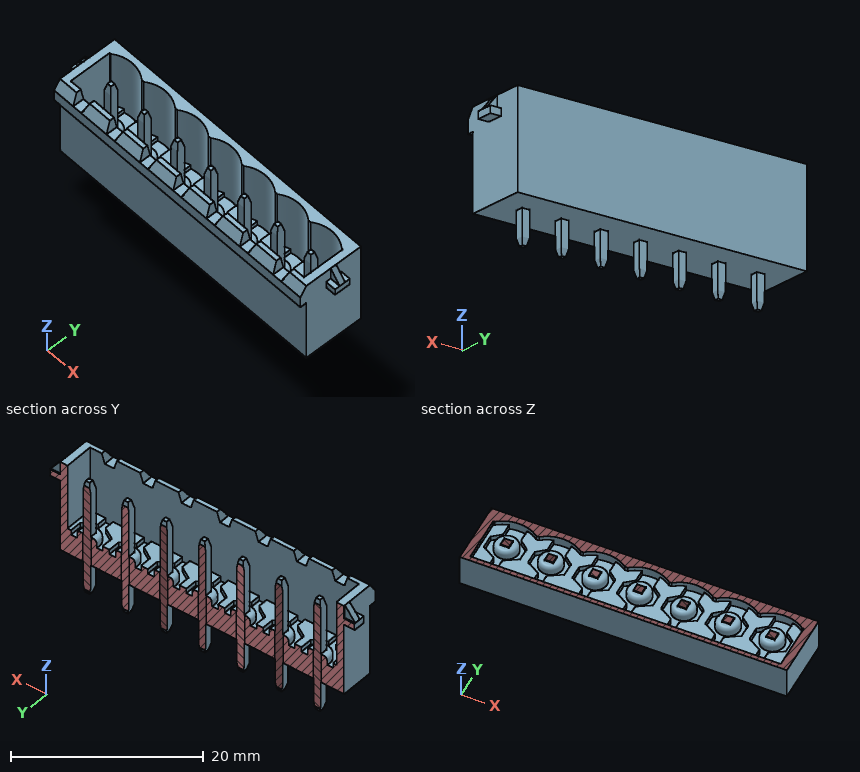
import cadquery as cq

PIN_COUNT = 7
PITCH = 5.1
PIN_X = [(i - (PIN_COUNT - 1) / 2) * PITCH for i in range(PIN_COUNT)]

OVERALL_LENGTH = 40.35
TAB_REACH = 1.37
LENGTH = OVERALL_LENGTH - 2 * TAB_REACH
HEIGHT = 11.95
DEPTH = 7.75
BACK_Y = 3.8
FRONT_Y = BACK_Y - DEPTH

LIP_REACH = 0.85
LIP_HEIGHT = 2.83
LIP_BEVEL_HEIGHT = 1.2
LIP_Y = FRONT_Y - LIP_REACH

CAVITY_LENGTH = PIN_COUNT * PITCH
CAVITY_DEPTH = 8.48
FLOOR_Z = HEIGHT - CAVITY_DEPTH
FRONT_WALL = 0.6
CAVITY_FRONT_Y = FRONT_Y + FRONT_WALL
BACK_WALL = 0.85
SCALLOP_WIDTH = 4.75
SCALLOP_RISE = 0.8
SCALLOP_TOP_Y = BACK_Y - BACK_WALL
CUSP_Y = SCALLOP_TOP_Y - SCALLOP_RISE

RECESS_DEPTH = 0.6
RECESS_Z = FLOOR_Z - RECESS_DEPTH
RECESS_WIDTH = 4.15
BACK_CHANNEL_WIDTH = 2.05
FRONT_CHANNEL_WIDTH = 0.95
BACK_SHOULDER_Y = 1.35
WIDE_BACK_Y = 0.5
WIDE_FRONT_Y = -1.15
FRONT_SHOULDER_Y = -2.1

COLLAR_DIAMETER = 2.75
COLLAR_TOP_DIAMETER = 1.78
COLLAR_ROUND = (COLLAR_DIAMETER - COLLAR_TOP_DIAMETER) / 2
COLLAR_HEIGHT = 1.0

NOTCH_TOP_WIDTH = 2.0
NOTCH_FLOOR_WIDTH = 1.2
NOTCH_FLOOR_Z = HEIGHT - LIP_BEVEL_HEIGHT

TAB_Y = -0.12
TAB_WIDTH = 2.1
TAB_RIB_WIDTH = 0.75
TAB_TOP_Z = HEIGHT - 1.7
TAB_THICKNESS = 0.9

PIN_SIZE = 1.0
PIN_BELOW = 4.05
PIN_TOP_GAP = 0.95
PIN_TOP_Z = HEIGHT - PIN_TOP_GAP
UPPER_TIP_SIZE = 0.52
UPPER_TIP_LENGTH = 1.1
LOWER_TIP_SIZE = 0.55
LOWER_TIP_LENGTH = 0.85


def housing_block():
    """Solid block with the bevelled front lip, extruded along X."""
    profile = [
        (BACK_Y, 0),
        (BACK_Y, HEIGHT),
        (FRONT_Y, HEIGHT),
        (LIP_Y, NOTCH_FLOOR_Z),
        (LIP_Y, HEIGHT - LIP_HEIGHT),
        (FRONT_Y, HEIGHT - LIP_HEIGHT),
        (FRONT_Y, 0),
    ]
    return cq.Workplane("YZ").polyline(profile).close().extrude(LENGTH / 2, both=True)


def cavity():
    """Open-topped space inside the housing, scalloped along its back."""
    half = CAVITY_LENGTH / 2
    outline = (
        cq.Workplane("XY", origin=(0, 0, FLOOR_Z))
        .moveTo(half, CAVITY_FRONT_Y)
        .lineTo(-half, CAVITY_FRONT_Y)
        .lineTo(-half, CUSP_Y)
    )
    for x in PIN_X:
        outline = (
            outline.lineTo(x - SCALLOP_WIDTH / 2, CUSP_Y)
            .threePointArc((x, SCALLOP_TOP_Y), (x + SCALLOP_WIDTH / 2, CUSP_Y))
        )
    return outline.lineTo(half, CUSP_Y).close().extrude(CAVITY_DEPTH)


def floor_recess(x):
    """Keyed recess, from the front wall past the pin to the scallop."""
    right_side = [
        (FRONT_CHANNEL_WIDTH / 2, CAVITY_FRONT_Y),
        (FRONT_CHANNEL_WIDTH / 2, FRONT_SHOULDER_Y),
        (RECESS_WIDTH / 2, WIDE_FRONT_Y),
        (RECESS_WIDTH / 2, WIDE_BACK_Y),
        (BACK_CHANNEL_WIDTH / 2, BACK_SHOULDER_Y),
        (BACK_CHANNEL_WIDTH / 2, SCALLOP_TOP_Y),
    ]
    left_side = [(-dx, y) for dx, y in reversed(right_side)]
    prism = (
        cq.Workplane("XY", origin=(x, 0, RECESS_Z))
        .polyline(right_side + left_side)
        .close()
        .extrude(RECESS_DEPTH)
    )
    return prism.intersect(cavity().translate((0, 0, -RECESS_DEPTH)))


def collar(x):
    """Round boss with a rounded top edge, standing in the recess."""
    return (
        cq.Workplane("XY", origin=(x, 0, RECESS_Z))
        .circle(COLLAR_DIAMETER / 2)
        .extrude(COLLAR_HEIGHT)
        .faces(">Z")
        .edges()
        .fillet(COLLAR_ROUND)
    )


def front_notch(x):
    """Tapered cut through the front wall and its lip."""
    profile = [
        (-NOTCH_TOP_WIDTH / 2, HEIGHT),
        (-NOTCH_FLOOR_WIDTH / 2, NOTCH_FLOOR_Z),
        (NOTCH_FLOOR_WIDTH / 2, NOTCH_FLOOR_Z),
        (NOTCH_TOP_WIDTH / 2, HEIGHT),
    ]
    return (
        cq.Workplane("XZ", origin=(x, CAVITY_FRONT_Y, 0))
        .polyline(profile)
        .close()
        .extrude(CAVITY_FRONT_Y - LIP_Y)
    )


def end_tab(side):
    """Slab and rib on one end of the housing; side is -1 or +1."""
    inner_x = side * LENGTH / 2
    outer_x = side * OVERALL_LENGTH / 2
    slab = cq.Workplane("XY").box(TAB_REACH, TAB_WIDTH, TAB_THICKNESS).translate(
        ((inner_x + outer_x) / 2, TAB_Y, TAB_TOP_Z - TAB_THICKNESS / 2)
    )
    rib = (
        cq.Workplane("XZ", origin=(0, TAB_Y, 0))
        .polyline([(inner_x, HEIGHT), (outer_x, TAB_TOP_Z), (inner_x, TAB_TOP_Z)])
        .close()
        .extrude(TAB_RIB_WIDTH / 2, both=True)
    )
    return slab.union(rib)


def pin_tip(x, base_z, tip_size, tip_z):
    """Square taper from the full pin size at base_z to tip_size at tip_z."""
    return (
        cq.Workplane("XY", origin=(x, 0, base_z))
        .rect(PIN_SIZE, PIN_SIZE)
        .workplane(offset=tip_z - base_z)
        .rect(tip_size, tip_size)
        .loft(ruled=True)
    )


def make_pin(x):
    """Square pin running right through the housing floor."""
    shaft_bottom = LOWER_TIP_LENGTH - PIN_BELOW
    shaft_top = PIN_TOP_Z - UPPER_TIP_LENGTH
    shaft = (
        cq.Workplane("XY", origin=(x, 0, shaft_bottom))
        .rect(PIN_SIZE, PIN_SIZE)
        .extrude(shaft_top - shaft_bottom)
    )
    upper_tip = pin_tip(x, shaft_top, UPPER_TIP_SIZE, PIN_TOP_Z)
    lower_tip = pin_tip(x, shaft_bottom, LOWER_TIP_SIZE, -PIN_BELOW)
    return shaft.union(upper_tip).union(lower_tip)


def pin_hole(x):
    """Square hole through the housing floor and collar, fitting the pin."""
    return cq.Workplane("XY", origin=(x, 0, 0)).rect(PIN_SIZE, PIN_SIZE).extrude(HEIGHT)


def make_housing():
    housing = housing_block().cut(cavity())
    for x in PIN_X:
        housing = housing.cut(floor_recess(x)).cut(front_notch(x))
        housing = housing.union(collar(x)).cut(pin_hole(x))
    for side in (-1, 1):
        housing = housing.union(end_tab(side))
    return housing


housing = make_housing()
pins = [make_pin(x) for x in PIN_X]

result = cq.Compound.makeCompound([housing.val(), *[pin.val() for pin in pins]])